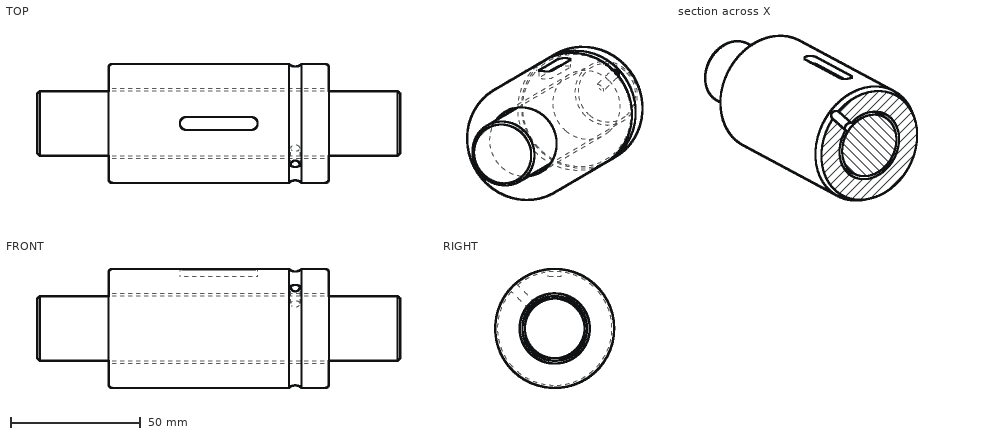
import cadquery as cq

shaft_length = 140.0
shaft_diameter = 25.0
shaft_chamfer = 1.0

sleeve_length = 85.0
sleeve_diameter = 46.0
bore_diameter = 27.0
sleeve_edge_radius = 1.5
sleeve_radius = sleeve_diameter / 2

groove_center_x = 29.5
groove_width = 5.0
groove_depth = 1.0

oil_hole_diameter = 3.5
oil_hole_tilt = 45.0

keyway_length = 30.0
keyway_width = 5.0
keyway_depth = 3.0


def rod(diameter, length):
    """Cylinder along X, centred on the origin."""
    return cq.Workplane("YZ", origin=(-length / 2, 0, 0)).circle(diameter / 2).extrude(length)


def oil_groove():
    """Ring whose inner face is the groove's arc."""
    half_width = groove_width / 2
    return (
        cq.Workplane("XY")
        .moveTo(groove_center_x - half_width, sleeve_radius)
        .threePointArc(
            (groove_center_x, sleeve_radius - groove_depth),
            (groove_center_x + half_width, sleeve_radius),
        )
        .close()
        .revolve(360, (0, 0, 0), (1, 0, 0))
    )


def oil_hole():
    """Radial drill from the sleeve axis out past the groove."""
    return (
        cq.Workplane("XY")
        .center(groove_center_x, 0)
        .circle(oil_hole_diameter / 2)
        .extrude(sleeve_radius)
        .rotate((0, 0, 0), (1, 0, 0), oil_hole_tilt)
    )


def keyway():
    """Round-ended cutter reaching down from the top of the sleeve."""
    return (
        cq.Workplane("XY")
        .workplane(offset=sleeve_radius - keyway_depth)
        .slot2D(keyway_length, keyway_width)
        .extrude(keyway_depth)
    )


def make_sleeve():
    body = rod(sleeve_diameter, sleeve_length).faces("<X or >X").edges().fillet(sleeve_edge_radius)
    body = body.cut(rod(bore_diameter, sleeve_length))
    return body.cut(oil_groove()).cut(oil_hole()).cut(keyway())


def make_shaft():
    return rod(shaft_diameter, shaft_length).faces("<X or >X").chamfer(shaft_chamfer)


sleeve = make_sleeve()
shaft = make_shaft()

result = cq.Compound.makeCompound([sleeve.val(), shaft.val()])